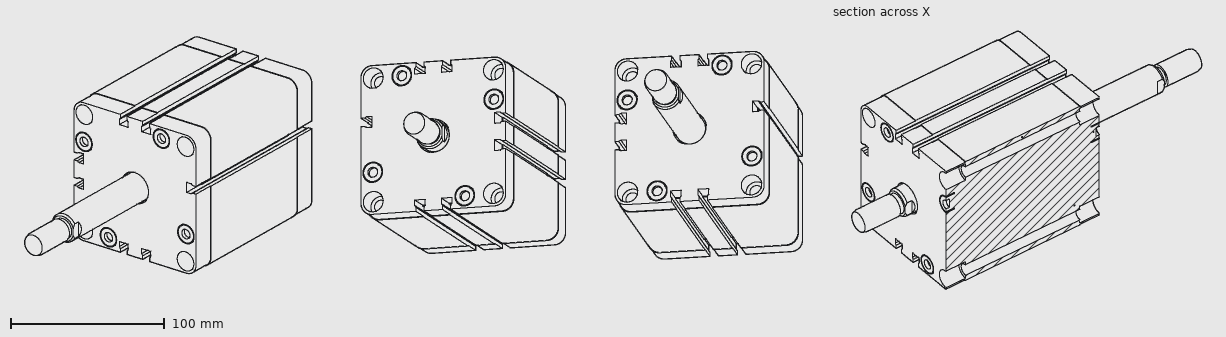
import cadquery as cq


barrel_side = 100.0
cap_side = 99.0
corner_centre = 42.0
front_face = -28.0
back_face = 98.0
cap_length = 16.0

barrel_slot_floor = 42.5
cap_slot_floor = 42.0
undercut_start = 45.5
neck_end = 47.0
slot_neck = 5.5
slot_undercut = 0.8
pair_centre = 9.0
single_centre = 12.1

mount_offset = 41.0
mount_diameter = 8.5
mount_counterbore = 13.5

screw_near = 21.5
screw_far = 41.5
screw_bore = 13.5
screw_head = 12.5
screw_gap_depth = 7.0
socket_diameter = 6.5
socket_depth = 2.8

overall_length = 276.0
rod_clearance = 22.0
rod_gap = 1.02
rod_diameter = rod_clearance - 2 * rod_gap
rod_clearance_depth = 2.8
thread_diameter = 16.0
thread_length = 28.5
thread_chamfer = 2.8
thread_tip_diameter = 14.4
shoulder_from_tip = 31.7
shoulder_chamfer = 1.7
shoulder_chamfer_depth = 1.0
groove_diameter = 12.5
groove_shoulder_diameter = 14.5
flat_width = 17.0
flat_end_from_tip = 37.3
cut_margin = 5.5


def square_bar(side, start, end):
    """Square bar along Y with rounded long edges."""
    bar = cq.Workplane("XY").box(side, end - start, side)
    bar = bar.edges("|Y").fillet(side / 2 - corner_centre)
    return bar.translate((0, (start + end) / 2, 0))


def along_y(points, start, end):
    """Prism along Y from an outline of (x, z) points."""
    prism = cq.Workplane("XZ", origin=(0, start, 0)).polyline(points).close()
    return prism.extrude(start - end)


def cylinder(x, z, diameter, start, end):
    """Cylinder parallel to Y."""
    return cq.Workplane("XZ", origin=(x, start, z)).circle(diameter / 2).extrude(start - end)


def slot_outline(side, slot_floor):
    """Outline (across, outward) of a T-slot in a square bar of the given side."""
    neck = slot_neck / 2
    half = [
        (neck, side / 2 + cut_margin),
        (neck, neck_end),
        (neck + slot_undercut, undercut_start),
        (neck + slot_undercut, slot_floor),
    ]
    return half + [(-across, outward) for across, outward in reversed(half)]


def slotted_bar(side, slot_floor, start, end):
    """Square bar with slot pairs on top, bottom and -X, and a single slot on +X."""
    bar = square_bar(side, start, end)
    slot = slot_outline(side, slot_floor)
    for centre in (-pair_centre, pair_centre):
        bar = bar.cut(along_y([(centre + u, v) for u, v in slot], start, end))
        bar = bar.cut(along_y([(centre + u, -v) for u, v in slot], start, end))
        bar = bar.cut(along_y([(-v, centre + u) for u, v in slot], start, end))
    return bar.cut(along_y([(v, single_centre + u) for u, v in slot], start, end))


def make_housing():
    barrel_start = front_face + cap_length
    barrel_end = back_face - cap_length
    front_cap = slotted_bar(cap_side, cap_slot_floor, front_face, barrel_start)
    barrel = slotted_bar(barrel_side, barrel_slot_floor, barrel_start, barrel_end)
    back_cap = slotted_bar(cap_side, cap_slot_floor, barrel_end, back_face)
    return barrel.union(front_cap).union(back_cap)


def cut_mounting_holes(body):
    for x in (-mount_offset, mount_offset):
        for z in (-mount_offset, mount_offset):
            body = body.cut(cylinder(x, z, mount_diameter, front_face, back_face))
            body = body.cut(cylinder(x, z, mount_counterbore, front_face, front_face + cap_length))
            body = body.cut(cylinder(x, z, mount_counterbore, back_face - cap_length, back_face))
    return body


def cut_cap_screws(body):
    """Leave a narrow gap around each screw head and a round socket in it."""
    positions = [
        (screw_near, screw_far),
        (screw_far, -screw_near),
        (-screw_near, -screw_far),
        (-screw_far, screw_near),
    ]
    for face, inward in ((front_face, 1), (back_face, -1)):
        for x, z in positions:
            gap_end = face + inward * screw_gap_depth
            gap = cylinder(x, z, screw_bore, face, gap_end).cut(cylinder(x, z, screw_head, face, gap_end))
            socket = cylinder(x, z, socket_diameter, face, face + inward * socket_depth)
            body = body.cut(gap).cut(socket)
    return body


def make_rod_half():
    """Rod end from mid-length (Y = 0) to the tip on the +Y side."""
    tip = overall_length / 2
    shoulder = tip - shoulder_from_tip
    rod_radius = rod_diameter / 2
    thread_radius = thread_diameter / 2
    profile = (
        cq.Workplane("XY")
        .lineTo(rod_radius, 0)
        .lineTo(rod_radius, shoulder - shoulder_chamfer)
        .lineTo(rod_radius - shoulder_chamfer_depth, shoulder)
        .lineTo(groove_shoulder_diameter / 2, shoulder)
        .lineTo(groove_diameter / 2, tip - thread_length)
        .lineTo(thread_radius, tip - thread_length)
        .lineTo(thread_radius, tip - thread_chamfer)
        .lineTo(thread_tip_diameter / 2, tip)
        .lineTo(0, tip)
        .close()
    )
    half = profile.revolve(360, (0, 0, 0), (0, 1, 0))

    flat = flat_width / 2
    flat_end = tip - flat_end_from_tip
    for side in (-1, 1):
        wedge = [
            (side * flat, shoulder),
            (side * flat, flat_end),
            (side * (flat + cut_margin), flat_end - cut_margin),
            (side * (flat + cut_margin), shoulder),
        ]
        cutter = cq.Workplane("XY").polyline(wedge).close().extrude(rod_radius, both=True)
        half = half.cut(cutter)
    return half


housing = make_housing()
housing = cut_mounting_holes(housing)
housing = cut_cap_screws(housing)
housing = housing.cut(cylinder(0, 0, rod_clearance, front_face, front_face + rod_clearance_depth))
housing = housing.cut(cylinder(0, 0, rod_clearance, back_face - rod_clearance_depth, back_face))

back_half = make_rod_half()
rod = back_half.union(back_half.mirror("XZ"))

result = housing.union(rod)